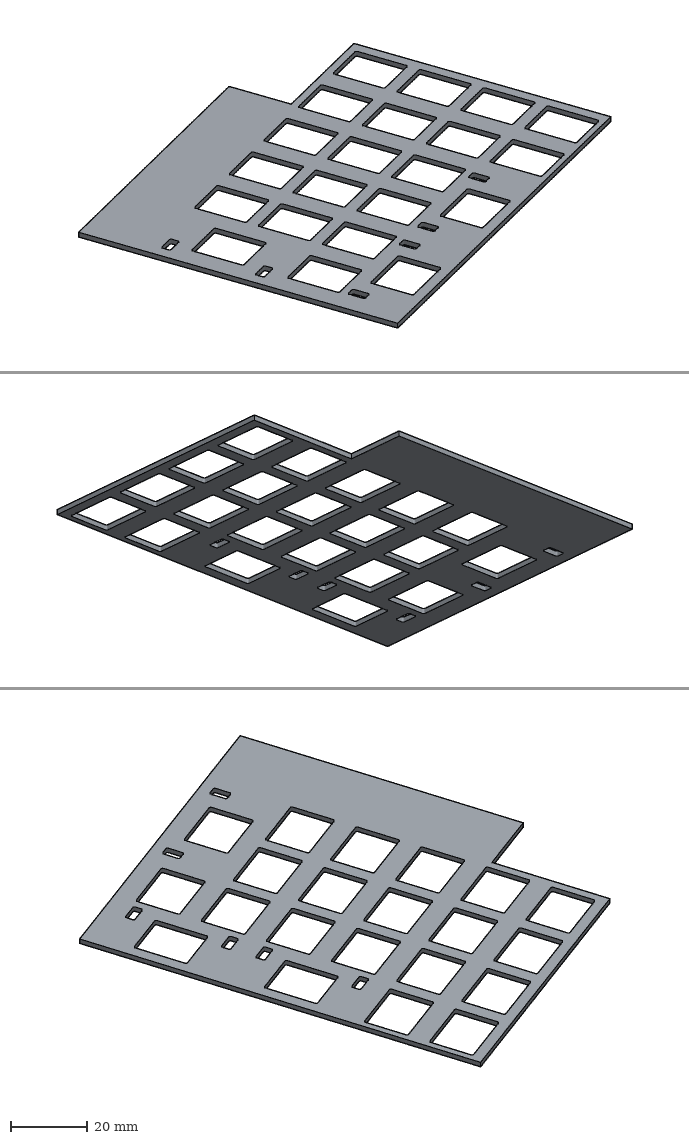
import cadquery as cq

plate_width = 95.2
plate_length = 117.3
plate_thickness = 1.5
notch_width = 18.5
notch_length = 34.5

key_pitch = plate_width / 5
row_count = 6
first_column_x = 1.5 * key_pitch
top_row_y = plate_length - key_pitch / 2

switch_width = 15.5
switch_height = 12.8
slot_length = 5.0
slot_width = 2.7
slot_spacing = 28.0
slot_offset = 6.5
corner_radius = 0.5

single_keys = [
    (0, 1, 2, 3),
    (0, 1, 2, 3),
    (0, 1, 2),
    (0, 1, 2),
    (0, 1, 2),
    (2,),
]
wide_key = (0.5, row_count - 1)
tall_keys = [(3, 2.5), (3, 4.5)]


def grid_point(column, row):
    """Centre of a grid place, counting columns from the left and rows from the top."""
    return (first_column_x + column * key_pitch, top_row_y - row * key_pitch)


def rounded_cutter(width, height, centres):
    """Through-cutting blocks with rounded corners at the given centres."""
    return (
        cq.Workplane("XY")
        .pushPoints(centres)
        .rect(width, height)
        .extrude(plate_thickness)
        .edges("|Z")
        .fillet(corner_radius)
    )


shoulder_y = plate_length - notch_length
plate = (
    cq.Workplane("XY")
    .polyline([
        (0, 0),
        (plate_width, 0),
        (plate_width, plate_length),
        (notch_width, plate_length),
        (notch_width, shoulder_y),
        (0, shoulder_y),
    ])
    .close()
    .extrude(plate_thickness)
)

flat_centres = [
    grid_point(column, row)
    for row, columns in enumerate(single_keys)
    for column in columns
]
flat_centres.append(grid_point(*wide_key))
tall_centres = [grid_point(*key) for key in tall_keys]
plate = plate.cut(rounded_cutter(switch_width, switch_height, flat_centres))
plate = plate.cut(rounded_cutter(switch_height, switch_width, tall_centres))

wide_x, wide_y = grid_point(*wide_key)
upright_slots = [
    (wide_x + side * slot_spacing / 2, wide_y - slot_offset)
    for side in (-1, 1)
]
level_slots = [
    (tall_x - slot_offset, tall_y + side * slot_spacing / 2)
    for tall_x, tall_y in tall_centres
    for side in (-1, 1)
]
plate = plate.cut(rounded_cutter(slot_width, slot_length, upright_slots))
result = plate.cut(rounded_cutter(slot_length, slot_width, level_slots))